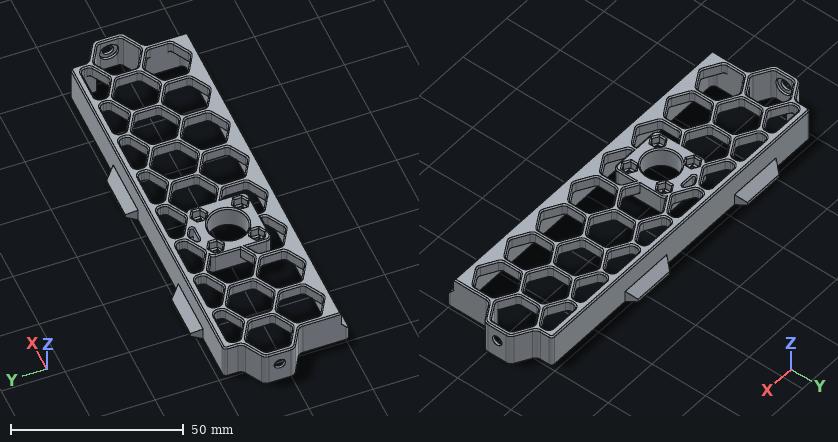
import cadquery as cq
import math

length = 132.8
height = 12.0
body_depth = 39.5
tab_reach = 42.5

wall = 1.7
cells = 9
pitch = (length - wall) / cells
row_spacing = pitch * math.sqrt(3) / 2
ear_row_y = 24.8
front_row_y = ear_row_y - row_spacing
back_row_y = ear_row_y + row_spacing
opening_flats = pitch - wall
body_length = (cells - 1) * pitch + wall
lattice_thickness = 4.0
back_rim = 2.4
front_rim = 1.6
corner_radius = 1.2
opening_radius = 1.6
slit_tip_radius = 0.5
ear_corner_radius = 2.3
edge_chamfer = 0.46

step_depth = 2.5
step_height = 4.1
slope_top = 7.2

tab_centers = (-33.7, 16.2)
tab_tip_length = 14.5
tab_tip_height = 1.2
tab_rise = tab_reach - body_depth
tab_flare = 2.3

pad_x = -pitch
pad_y = 19.9
pad_size = 19.9
pad_thickness = 7.0
pad_corner_radius = 2.0
pad_bore = 12.2
screw_spacing = 13.0
screw_diameter = 2.3
nut_flats = 4.0
nut_depth = 2.9
bridge_step = 0.2

ear_hole_diameter = 3.5
ear_head_diameter = 6.0
ear_head_depth = 0.8
ear_hole_z = 6.9


def hexagon(flats, x, y, depth, z=0.0):
    """Hexagonal prism with two corners pointing along Y."""
    corner_distance = flats / math.cos(math.pi / 6)
    outline = cq.Workplane("XY").polygon(6, corner_distance).extrude(depth)
    return outline.rotate((0, 0, 0), (0, 0, 1), 90).translate((x, y, z))


def block(x_size, y_min, y_max):
    """Full-height block centred on X."""
    return cq.Workplane("XY").box(x_size, y_max - y_min, height, centered=(True, False, False)).translate(
        (0, y_min, 0)
    )


def row_centers(count):
    return [(i - (count - 1) / 2) * pitch for i in range(count)]


def make_outline():
    """Body and the two hexagonal ears."""
    body = block(body_length, 0, body_depth).edges("|Z").fillet(corner_radius)
    for x in (row_centers(cells)[0], row_centers(cells)[-1]):
        body = body.union(hexagon(pitch + wall, x, ear_row_y, height))
    ear_zone = cq.selectors.BoxSelector(
        (-length, ear_row_y - pitch, -height), (length, ear_row_y + pitch * 0.7, 2 * height)
    )
    return body.edges("|Z").edges(ear_zone).fillet(ear_corner_radius)


def cut_underside(part):
    """Hollow below the honeycomb, open at the bottom and running out into the ears."""
    cavity = block(body_length - 2 * wall, step_depth + front_rim, body_depth - back_rim)
    cavity = cavity.edges("|Z").fillet(opening_radius)
    for x in (row_centers(cells)[0], row_centers(cells)[-1]):
        ear_cavity = hexagon(opening_flats, x, ear_row_y, height).edges("|Z").fillet(opening_radius)
        cavity = cavity.union(ear_cavity)
    return part.cut(cavity.translate((0, 0, -lattice_thickness)))


def make_pad():
    pad = cq.Workplane("XY").box(pad_size, pad_size, pad_thickness, centered=(True, True, False))
    pad = pad.edges("|Z").fillet(pad_corner_radius).faces(">Z").chamfer(edge_chamfer)
    return pad.translate((pad_x, pad_y, height - pad_thickness))


def flare_top(cutter):
    """Widen a cutter at the top face so that it leaves a chamfered rim."""
    rim = cutter.faces("<Z").wires().toPending()
    flare = rim.extrude(edge_chamfer, combine=False, taper=-45)
    bottom = cutter.val().BoundingBox().zmin
    return cutter.union(flare.translate((0, 0, height - edge_chamfer - bottom)))


def make_opening(y):
    """Honeycomb opening at X = 0, cut straight at the back rim."""
    behind_rim = block(length, body_depth - back_rim, body_depth + pitch)
    opening = hexagon(opening_flats, 0, y, height).cut(behind_rim)
    return flare_top(opening.edges("|Z").fillet(opening_radius))


def make_slit():
    """The narrow piece of a honeycomb opening, at X = 0, left behind the pad."""
    pad_strip = block(pad_size, 0, pad_y + pad_size / 2)
    slit = hexagon(opening_flats, 0, ear_row_y, height).cut(pad_strip)
    slit = slit.edges("|Z and >Y").fillet(opening_radius)
    return flare_top(slit.edges("|Z and (<X or >X)").fillet(slit_tip_radius))


def cut_honeycomb(part):
    rows = ((front_row_y, cells - 1), (ear_row_y, cells), (back_row_y, cells - 1))
    slit = make_slit()
    openings = cq.Workplane("XY")
    for y, count in rows:
        opening = make_opening(y)
        for x in row_centers(count):
            behind_pad = y == ear_row_y and math.isclose(x, pad_x)
            shape = slit if behind_pad else opening
            openings.add(shape.translate((x, 0, 0)).val())
    return part.cut(openings)


def cut_front_slope(part):
    profile = [
        (0, step_height),
        (step_depth, slope_top),
        (step_depth, height),
        (0, height),
    ]
    cutter = cq.Workplane("YZ").polyline(profile).close().extrude(length / 2, both=True)
    return part.cut(cutter)


def make_tab(x):
    """Snap tab with a sloping top and flared ends, wedged against the back face."""
    half_tip = tab_tip_length / 2
    half_base = half_tip + tab_flare
    plan = [
        (x - half_base, body_depth),
        (x - half_tip, tab_reach),
        (x + half_tip, tab_reach),
        (x + half_base, body_depth),
    ]
    side = [
        (body_depth, 0),
        (tab_reach, 0),
        (tab_reach, tab_tip_height),
        (body_depth, tab_tip_height + tab_rise),
    ]
    plan_prism = cq.Workplane("XY").polyline(plan).close().extrude(height)
    side_prism = cq.Workplane("YZ").polyline(side).close().extrude(length / 2, both=True)
    return plan_prism.intersect(side_prism)


def make_nut_hole():
    """Screw hole with a nut pocket whose floor steps from a slot to a square to the round hole."""
    pocket_floor = height - nut_depth
    pocket = flare_top(hexagon(nut_flats, 0, 0, nut_depth, pocket_floor))
    slot = cq.Workplane("XY").rect(nut_flats, screw_diameter).extrude(bridge_step)
    square = cq.Workplane("XY").rect(screw_diameter, screw_diameter).extrude(bridge_step)
    screw = cq.Workplane("XY").circle(screw_diameter / 2).extrude(height)
    hole = pocket.union(slot.translate((0, 0, pocket_floor - bridge_step)))
    hole = hole.union(square.translate((0, 0, pocket_floor - 2 * bridge_step)))
    return hole.union(screw)


def cut_pad_holes(part):
    """Central bore and four nut holes around it."""
    bore = flare_top(cq.Workplane("XY").circle(pad_bore / 2).extrude(height))
    part = part.cut(bore.translate((pad_x, pad_y, 0)))
    nut_hole = make_nut_hole()
    for side_x in (-1, 1):
        for side_y in (-1, 1):
            x = pad_x + side_x * screw_spacing / 2
            y = pad_y + side_y * screw_spacing / 2
            part = part.cut(nut_hole.translate((x, y, 0)))
    return part


def cut_ear_holes(part):
    """Screw holes through the ear end walls, with head recesses inside."""
    for side in (-1, 1):
        start = cq.Vector(side * length / 2, ear_row_y, ear_hole_z)
        inward = cq.Vector(-side, 0, 0)
        hole = cq.Solid.makeCylinder(ear_hole_diameter / 2, 2 * wall, start, inward)
        head_start = start + inward * (wall - ear_head_depth)
        head = cq.Solid.makeCylinder(ear_head_diameter / 2, wall, head_start, inward)
        part = part.cut(cq.Workplane(hole)).cut(cq.Workplane(head))
    return part


frame = cut_front_slope(make_outline())
frame = frame.faces(">Z").chamfer(edge_chamfer)
frame = cut_underside(frame)
frame = cut_honeycomb(frame)
frame = frame.union(make_pad())
frame = cut_pad_holes(frame)
frame = cut_ear_holes(frame)
for tab_x in tab_centers:
    frame = frame.union(make_tab(tab_x))
result = frame